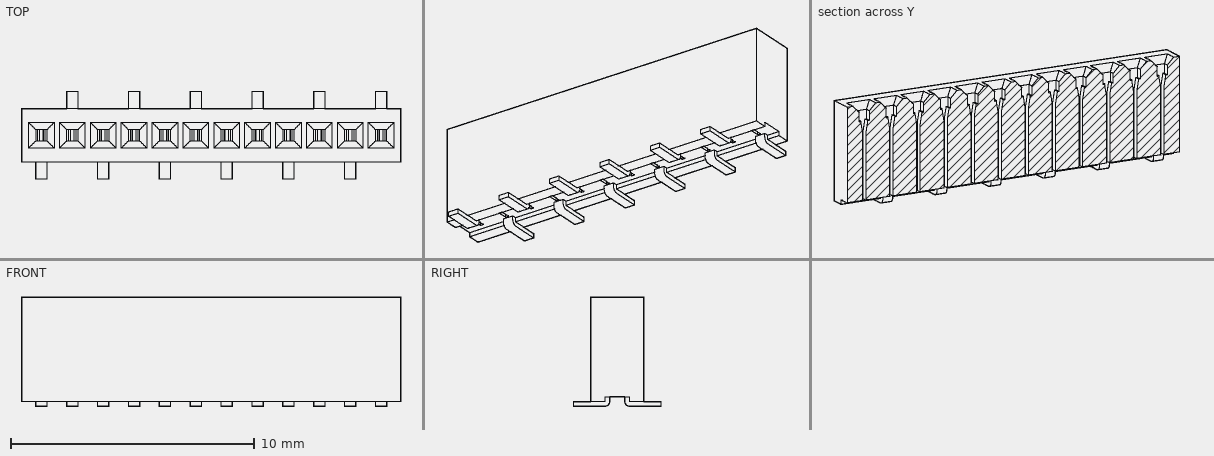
import cadquery as cq

contact_count = 12
pitch = 1.27

body_length = 15.59
body_width = 2.2
overall_height = 4.5
span_over_feet = 3.6

tail_width = 0.47
tail_thickness = 0.2
bend_outer_radius = 0.23
leg_embedding = 0.4

groove_half_width = 0.5
groove_depth = 0.19
body_bottom = tail_thickness
groove_top = body_bottom + groove_depth

mouth_size = 1.06
lead_in_depth = 0.3
hole_size = mouth_size - 2 * lead_in_depth
hole_top = overall_height - lead_in_depth

slit_width = 0.14
jaw_end_width = 0.075
jaw_end_drop = 0.013
jaw_slope_height = 0.5
jaw_ridge_depth = 0.4
jaw_ridge_z = hole_top - jaw_ridge_depth

contact_positions = [(i - (contact_count - 1) / 2) * pitch for i in range(contact_count)]


def make_body():
    """Rectangular housing with a groove along its underside."""
    body = cq.Workplane("XY").workplane(offset=body_bottom).rect(body_length, body_width)
    body = body.extrude(overall_height - body_bottom)
    groove = cq.Workplane("XY").workplane(offset=body_bottom)
    groove = groove.rect(body_length, 2 * groove_half_width).extrude(groove_depth)
    return body.cut(groove)


def make_socket(x):
    """Cavity of one socket: a tapered mouth above a straight through hole."""
    mouth = (
        cq.Workplane("XY")
        .workplane(offset=hole_top)
        .center(x, 0)
        .rect(hole_size, hole_size)
        .workplane(offset=lead_in_depth)
        .rect(mouth_size, mouth_size)
        .loft(ruled=True)
    )
    hole = cq.Workplane("XY").workplane(offset=groove_top).center(x, 0)
    hole = hole.rect(hole_size, hole_size).extrude(hole_top - groove_top)
    return mouth.union(hole)


def make_jaw(x, side):
    """One spring jaw on the given side (-1 or 1) of the hole centred at x."""
    wall = hole_size / 2
    ridge = wall - jaw_end_width
    throat = slit_width / 2
    profile = [
        (wall, groove_top),
        (wall, jaw_ridge_z - jaw_end_drop),
        (ridge, jaw_ridge_z),
        (throat, jaw_ridge_z - jaw_slope_height),
        (throat, groove_top),
    ]
    points = [(x + side * offset, z) for offset, z in profile]
    return cq.Workplane("XZ").polyline(points).close().extrude(hole_size / 2, both=True)


def make_tail(x, side):
    """Bent tail whose foot points toward -Y (side -1) or +Y (side 1)."""
    inner_y = groove_half_width - tail_thickness
    leg_top = groove_top + leg_embedding
    foot_end = span_over_feet / 2
    tail = (
        cq.Workplane("YZ")
        .moveTo(side * inner_y, leg_top)
        .lineTo(side * inner_y, bend_outer_radius)
        .radiusArc((side * (inner_y + bend_outer_radius), 0), -side * bend_outer_radius)
        .lineTo(side * foot_end, 0)
        .lineTo(side * foot_end, tail_thickness)
        .lineTo(side * groove_half_width, tail_thickness)
        .lineTo(side * groove_half_width, leg_top)
        .close()
        .extrude(tail_width / 2, both=True)
    )
    return tail.translate((x, 0, 0))


result = make_body()
for index, contact_x in enumerate(contact_positions):
    foot_side = -1 if index % 2 == 0 else 1
    result = result.cut(make_socket(contact_x))
    result = result.union(make_tail(contact_x, foot_side))
    for jaw_side in (-1, 1):
        result = result.union(make_jaw(contact_x, jaw_side))